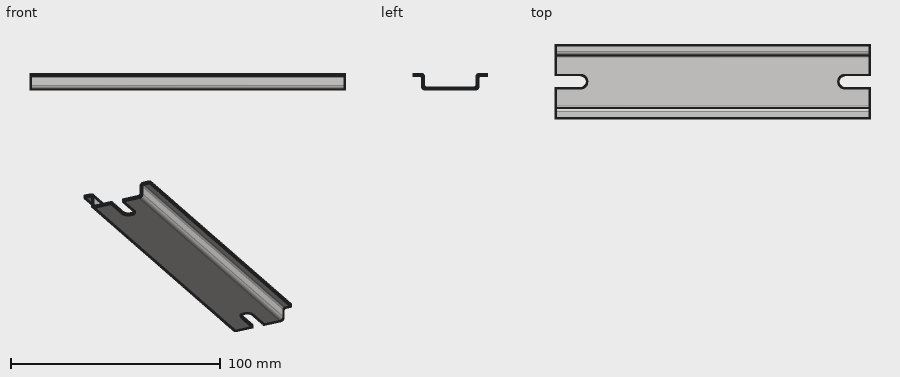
import cadquery as cq

length = 150.0
width = 35.0
height = 7.5
thickness = 1.0
channel_width = 27.0
inner_bend_radius = 0.8
outer_bend_radius = inner_bend_radius + thickness

slot_width = 6.2
slot_depth = 15.0


def hat_profile():
    """Sharp-cornered hat section, centred on Y with its base on Z = 0."""
    edge = width / 2
    wall_outside = channel_width / 2
    wall_inside = wall_outside - thickness
    flange_bottom = height - thickness
    right_half = [
        (wall_outside, 0),
        (wall_outside, flange_bottom),
        (edge, flange_bottom),
        (edge, height),
        (wall_inside, height),
        (wall_inside, thickness),
    ]
    left_half = [(-y, z) for y, z in reversed(right_half)]
    return cq.Workplane("YZ").polyline(right_half + left_half).close()


def bend_edges(body, y, z):
    """Select the lengthwise edges at height z on both sides of the rail."""
    tolerance = thickness / 10
    selected = body.edges("|X").filter(
        lambda e: abs(abs(e.Center().y) - y) < tolerance and abs(e.Center().z - z) < tolerance
    )
    return selected


def round_bends(body):
    """Round both faces of the sheet at the base and flange bends."""
    outside = channel_width / 2
    inside = outside - thickness
    bends = [
        (outside, 0, outer_bend_radius),
        (inside, thickness, inner_bend_radius),
        (inside, height, outer_bend_radius),
        (outside, height - thickness, inner_bend_radius),
    ]
    for y, z, radius in bends:
        body = bend_edges(body, y, z).fillet(radius)
    return body


def end_slots():
    """Round-ended cutters reaching inward from each end of the rail."""
    return (
        cq.Workplane("XY")
        .pushPoints([(-length / 2, 0), (length / 2, 0)])
        .slot2D(2 * slot_depth, slot_width)
        .extrude(height)
    )


rail = hat_profile().extrude(length / 2, both=True)
rail = round_bends(rail)
result = rail.cut(end_slots())